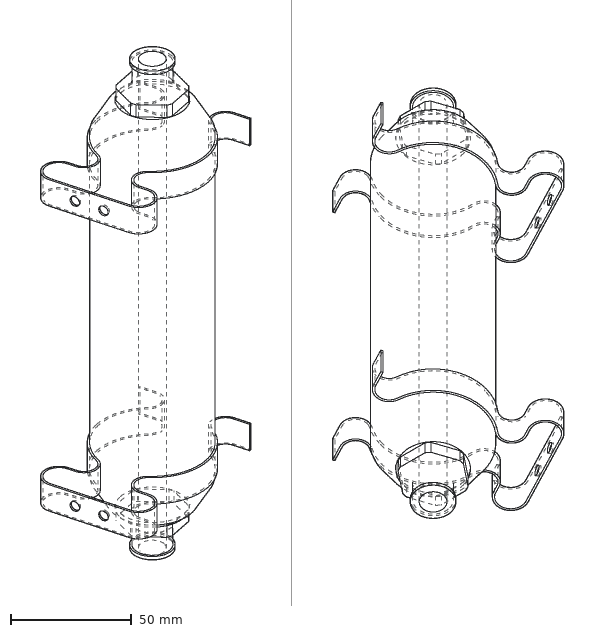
import cadquery as cq
import math

TOTAL_LENGTH = 240.0
CLIP_SPAN = 54.0
CLIP_DEPTH = 84.0
CLIP_THICKNESS = 1.0
BODY_RADIUS = CLIP_SPAN / 2 - CLIP_THICKNESS

CLIP_WIDTH = 13.0
CLIP_Z = 75.0
PLATE_STANDOFF = 24.0
PLATE_Y = -(BODY_RADIUS + PLATE_STANDOFF)
TAB_Y = PLATE_Y + CLIP_DEPTH
LOOP_RADIUS = 7.2
NECK_BEND_RADIUS = 6.2
TAB_BEND_RADIUS = 6.5
SCREW_HOLE_RADIUS = 4.5 / 2
SCREW_HOLE_X = 7.0

CONE_BASE_Z = 84.7
CONE_TOP_Z = 97.2
CONE_HALF_ANGLE = 30.0
CONE_TOP_RADIUS = BODY_RADIUS - (CONE_TOP_Z - CONE_BASE_Z) * math.tan(math.radians(CONE_HALF_ANGLE))
EDGE_FILLET = 1.5
COLLAR_RADIUS = 31.0 / 2
BORE_RADIUS = 11.5 / 2

HEX_BOTTOM_Z = 100.0
HEX_TOP_Z = 106.0
HEX_SIDES = 6
HEX_ACROSS_FLATS = 27.4
HEX_CORNER_RADIUS = 15.0

NECK_RADIUS = 17.0 / 2
NECK_FILLET = 2.6
LIP_RADIUS = 19.0 / 2
LIP_THICKNESS = 1.7

TOLERANCE = 2.4e-06


def turned_end():
    """Upper end above the straight wall: cone, collar, neck and lip, revolved about Z."""
    tip_z = TOTAL_LENGTH / 2
    arc_inset = 1 - math.sqrt(0.5)
    profile = (
        cq.Workplane("XZ")
        .moveTo(0, CONE_BASE_Z)
        .lineTo(BODY_RADIUS, CONE_BASE_Z)
        .lineTo(CONE_TOP_RADIUS, CONE_TOP_Z)
        .lineTo(COLLAR_RADIUS + EDGE_FILLET, CONE_TOP_Z)
        .threePointArc(
            (COLLAR_RADIUS + EDGE_FILLET * arc_inset, CONE_TOP_Z + EDGE_FILLET * arc_inset),
            (COLLAR_RADIUS, CONE_TOP_Z + EDGE_FILLET),
        )
        .lineTo(COLLAR_RADIUS, HEX_BOTTOM_Z)
        .lineTo(NECK_RADIUS + NECK_FILLET, HEX_BOTTOM_Z)
        .lineTo(NECK_RADIUS + NECK_FILLET, HEX_TOP_Z)
        .threePointArc(
            (NECK_RADIUS + NECK_FILLET * arc_inset, HEX_TOP_Z + NECK_FILLET * arc_inset),
            (NECK_RADIUS, HEX_TOP_Z + NECK_FILLET),
        )
        .lineTo(NECK_RADIUS, tip_z - LIP_THICKNESS)
        .lineTo(LIP_RADIUS, tip_z - LIP_THICKNESS)
        .lineTo(LIP_RADIUS, tip_z)
        .lineTo(0, tip_z)
        .close()
    )
    return profile.revolve(360, (0, 0, 0), (0, 1, 0))


def turned_vessel():
    """Straight wall and both ends, with the rims of the cones rounded."""
    wall = cq.Workplane("XY", origin=(0, 0, -CONE_BASE_Z)).circle(BODY_RADIUS).extrude(2 * CONE_BASE_Z)
    end = turned_end()
    body = wall.union(end).union(end.mirror("XY"))
    rim_radii = (BODY_RADIUS, CONE_TOP_RADIUS)
    rims = body.edges("%CIRCLE").filter(
        lambda edge: any(abs(edge.radius() - radius) < TOLERANCE for radius in rim_radii)
    )
    return rims.fillet(EDGE_FILLET)


def hexagons():
    """Hexagonal nut sections at both ends, two flats facing X, corners turned down to a circle."""
    sharp_corner_diameter = HEX_ACROSS_FLATS / math.cos(math.pi / HEX_SIDES)
    height = HEX_TOP_Z - HEX_BOTTOM_Z
    plane = cq.Workplane("XY").workplane(offset=HEX_BOTTOM_Z)
    blank = plane.polygon(HEX_SIDES, sharp_corner_diameter).extrude(height)
    blank = blank.rotate((0, 0, 0), (0, 0, 1), 180 / HEX_SIDES)
    nut = blank.intersect(plane.circle(HEX_CORNER_RADIUS).extrude(height))
    return nut.union(nut.mirror("XY"))


def make_vessel():
    """The canister with its end fittings, bored through from tip to tip."""
    bore = cq.Workplane("XY", origin=(0, 0, -TOTAL_LENGTH / 2)).circle(BORE_RADIUS).extrude(TOTAL_LENGTH)
    return turned_vessel().union(hexagons()).cut(bore)


def polar_point(center, radius, degrees):
    """Point at an angle on a circle in the XY plane."""
    angle = math.radians(degrees)
    return cq.Vector(center[0] + radius * math.cos(angle), center[1] + radius * math.sin(angle))


def clip_bends():
    """Bends of the +X half, from the plate to the tab: (center, radius, start angle, end angle)."""
    half_thickness = CLIP_THICKNESS / 2
    wrap_radius = BODY_RADIUS + half_thickness
    plate_y = PLATE_Y + half_thickness
    tab_y = TAB_Y - half_thickness

    loop_center = (CLIP_SPAN / 2 - half_thickness - LOOP_RADIUS, plate_y + LOOP_RADIUS)

    neck_y = plate_y + 2 * LOOP_RADIUS + NECK_BEND_RADIUS
    neck_center = (math.sqrt((wrap_radius + NECK_BEND_RADIUS) ** 2 - neck_y**2), neck_y)
    tab_bend_y = tab_y - TAB_BEND_RADIUS
    tab_center = (math.sqrt((wrap_radius + TAB_BEND_RADIUS) ** 2 - tab_bend_y**2), tab_bend_y)
    neck_angle = math.degrees(math.atan2(neck_center[1], neck_center[0]))
    tab_angle = math.degrees(math.atan2(tab_center[1], tab_center[0]))

    return [
        (loop_center, LOOP_RADIUS, -90, 90),
        (neck_center, NECK_BEND_RADIUS, 270, neck_angle + 180),
        ((0, 0), wrap_radius, neck_angle, tab_angle),
        (tab_center, TAB_BEND_RADIUS, tab_angle + 180, 90),
    ]


def clip_side(bends, offset):
    """Edges of one side of the +X half strip, at the given offset to the right of its middle line."""
    plate_y = PLATE_Y + CLIP_THICKNESS / 2
    tab_y = TAB_Y - CLIP_THICKNESS / 2
    here = cq.Vector(0, plate_y - offset)
    edges = []
    for center, middle_radius, start, end in bends:
        turn = math.copysign(1, end - start)
        radius = middle_radius + turn * offset
        arc_start, arc_middle, arc_end = (
            polar_point(center, radius, angle) for angle in (start, (start + end) / 2, end)
        )
        if (arc_start - here).Length > TOLERANCE:
            edges.append(cq.Edge.makeLine(here, arc_start))
        edges.append(cq.Edge.makeThreePointArc(arc_start, arc_middle, arc_end))
        here = arc_end
    edges.append(cq.Edge.makeLine(here, cq.Vector(CLIP_SPAN / 2, tab_y - offset)))
    return edges


def make_clip(center_z):
    """One spring clip, bent from strip and symmetric about X = 0."""
    bends = clip_bends()
    right_side = clip_side(bends, CLIP_THICKNESS / 2)
    left_side = clip_side(bends, -CLIP_THICKNESS / 2)
    root = cq.Edge.makeLine(left_side[0].startPoint(), right_side[0].startPoint())
    tip = cq.Edge.makeLine(right_side[-1].endPoint(), left_side[-1].endPoint())
    outline = cq.Wire.assembleEdges([root, *right_side, tip, *reversed(left_side)])
    strip = cq.Solid.extrudeLinear(outline, [], cq.Vector(0, 0, CLIP_WIDTH))

    half = cq.Workplane(strip).translate((0, 0, -CLIP_WIDTH / 2))
    clip = half.union(half.mirror("YZ"))
    screw_holes = (
        cq.Workplane("XZ", origin=(0, PLATE_Y, 0))
        .pushPoints([(-SCREW_HOLE_X, 0), (SCREW_HOLE_X, 0)])
        .circle(SCREW_HOLE_RADIUS)
        .extrude(-CLIP_THICKNESS)
    )
    return clip.cut(screw_holes).translate((0, 0, center_z))


vessel = make_vessel()
clips = [make_clip(center_z) for center_z in (-CLIP_Z, CLIP_Z)]

result = cq.Compound.makeCompound([vessel.val(), *[clip.val() for clip in clips]])